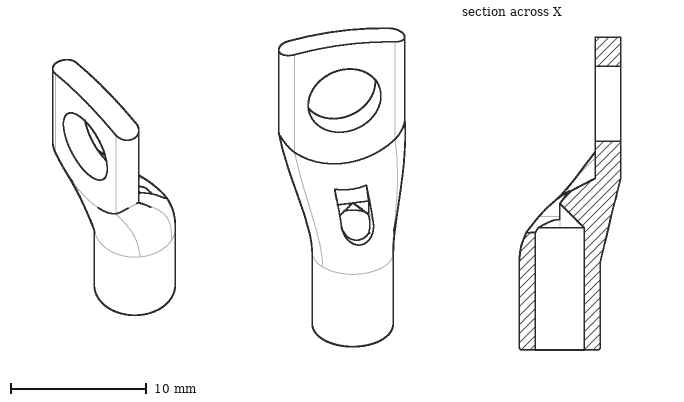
import cadquery as cq
import math

BARREL_RADIUS = 3.0
BARREL_HEIGHT = 6.5
BARREL_FILLET = 0.2

BORE_RADIUS = 1.8
BORE_DEPTH = 9.0
BORE_CONE_HEIGHT = BORE_RADIUS

OVERALL_HEIGHT = 23.08
PALM_WIDTH = 9.5
PALM_THICKNESS = 1.9
PALM_FRONT_Y = -4.5
PALM_MID_Y = PALM_FRONT_Y + PALM_THICKNESS / 2
PALM_EDGE_RADIUS = PALM_THICKNESS / 2
PALM_FLAT_HALF_WIDTH = PALM_WIDTH / 2 - PALM_EDGE_RADIUS
PALM_TOP_RADIUS = OVERALL_HEIGHT

STUD_HOLE_DIAMETER = 5.5
STUD_HOLE_Z = 18.15
NECK_ARC_RADIUS = 5.5

CORNER_ANGLE = math.radians(28.5)
NECK_SECTIONS = 6
SPLINE_SPANS = 8
SEWING_TOLERANCE = 1e-4
WIDTH_LATE_PULL = 0.88
FRONT_LOWER_PULL = 0.32
LOWER_PULL_POWER = 4
FRONT_UPPER_PULL = 0.66
BACK_UPPER_PULL = 0.2

WINDOW_WIDTH = 2.4
WINDOW_BOTTOM_Z = 8.68
WINDOW_ROUND_Z = WINDOW_BOTTOM_Z + WINDOW_WIDTH / 2
WINDOW_FLOOR_Y = 0.0
WINDOW_LEDGE_Z = 10.8
WINDOW_TOP_Y = -0.77
WINDOW_TOP_Z = 11.83
WINDOW_REACH = 2 * BARREL_RADIUS


def bezier(start, lower, upper, end, u):
    """Point on a cubic Bezier curve, one coordinate at a time."""
    v = 1 - u
    return start * v**3 + 3 * lower * v**2 * u + 3 * upper * v * u**2 + end * u**3


def neck_arc_z(x):
    """Height of the neck arc at a given X."""
    return STUD_HOLE_Z - math.sqrt(NECK_ARC_RADIUS**2 - x**2)


def palm_point(side, t):
    """Point of the palm's lower edge on one of its four sides, t from 0 to 1 counter-clockwise."""
    if side in ("right", "left"):
        sign = 1 if side == "right" else -1
        angle = math.pi * (t - 0.5)
        x = sign * (PALM_FLAT_HALF_WIDTH + PALM_EDGE_RADIUS * math.cos(angle))
        y = PALM_MID_Y + sign * PALM_EDGE_RADIUS * math.sin(angle)
    else:
        sign = 1 if side == "front" else -1
        half_sweep = math.asin(PALM_FLAT_HALF_WIDTH / NECK_ARC_RADIUS)
        x = sign * NECK_ARC_RADIUS * math.sin(half_sweep * (2 * t - 1))
        y = PALM_MID_Y - sign * PALM_EDGE_RADIUS
    return x, y, neck_arc_z(x)


def barrel_point(side, t):
    """Point of the barrel's top circle that the palm point of the same side and t is joined to."""
    mid_angle = {"right": 0, "back": math.pi / 2, "left": math.pi, "front": -math.pi / 2}[side]
    half_sweep = CORNER_ANGLE if side in ("right", "left") else math.pi / 2 - CORNER_ANGLE
    angle = mid_angle + half_sweep * (2 * t - 1)
    return BARREL_RADIUS * math.cos(angle), BARREL_RADIUS * math.sin(angle), BARREL_HEIGHT


def neck_point(side, t, u):
    """Point of the neck's skin; u runs from 0 at the barrel to 1 at the palm."""
    x0, y0, z0 = barrel_point(side, t)
    x1, y1, z1 = palm_point(side, t)
    frontness = (BARREL_RADIUS - y0) / (2 * BARREL_RADIUS)
    lower_pull = FRONT_LOWER_PULL * frontness**LOWER_PULL_POWER
    upper_pull = BACK_UPPER_PULL + (FRONT_UPPER_PULL - BACK_UPPER_PULL) * frontness
    y_lower = y0 + (y1 - y0) * lower_pull
    y_upper = y0 + (y1 - y0) * upper_pull
    x_upper = x0 + (x1 - x0) * WIDTH_LATE_PULL
    x = bezier(x0, x0, x_upper, x1, u)
    y = bezier(y0, y_lower, y_upper, y1, u)
    return cq.Vector(x, y, z0 + (z1 - z0) * u)


SIDES = ("right", "back", "left", "front")
SIDE_SELECTORS = {"right": ">X", "back": ">Y", "left": "<X", "front": "<Y"}


def closed_wire(edge_of_side):
    """Loop of four edges, one for each side of the neck."""
    return cq.Wire.assembleEdges([edge_of_side(side) for side in SIDES])


def barrel_arc(side):
    return cq.Edge.makeThreePointArc(*[cq.Vector(*barrel_point(side, t)) for t in (0, 0.5, 1)])


def neck_edge(side, u):
    """Curve across one side of the neck at a fixed u."""
    return cq.Edge.makeSpline([neck_point(side, i / SPLINE_SPANS, u) for i in range(SPLINE_SPANS + 1)])


def make_palm():
    """Tongue with its domed top, its lower end cut to the neck arc."""
    shoulder_z = math.sqrt(PALM_TOP_RADIUS**2 - NECK_ARC_RADIUS**2)
    outline = (
        cq.Workplane("XZ")
        .moveTo(-NECK_ARC_RADIUS, STUD_HOLE_Z)
        .threePointArc((0, STUD_HOLE_Z - NECK_ARC_RADIUS), (NECK_ARC_RADIUS, STUD_HOLE_Z))
        .lineTo(NECK_ARC_RADIUS, shoulder_z)
        .threePointArc((0, OVERALL_HEIGHT), (-NECK_ARC_RADIUS, shoulder_z))
        .close()
        .extrude(PALM_WIDTH, both=True)
    )
    section = cq.Workplane("XY").center(0, PALM_MID_Y).slot2D(PALM_WIDTH, PALM_THICKNESS)
    return section.extrude(OVERALL_HEIGHT).intersect(outline)


def make_neck_and_palm():
    """One solid sewn from the neck's skin, its round lower end and the faces of the palm."""
    palm = make_palm()
    joint_middle = (0, PALM_MID_Y, STUD_HOLE_Z - NECK_ARC_RADIUS)
    joint = palm.faces(cq.selectors.NearestToPointSelector(joint_middle))
    barrel_loop = closed_wire(barrel_arc)
    palm_loop = closed_wire(lambda side: joint.edges(SIDE_SELECTORS[side]).val())
    inner_loops = [
        closed_wire(lambda side: neck_edge(side, i / NECK_SECTIONS)) for i in range(1, NECK_SECTIONS)
    ]
    skin = cq.Solid.makeLoft([barrel_loop, *inner_loops, palm_loop]).Faces()
    lower_end = cq.Face.makeFromWires(barrel_loop)
    palm_faces = [face for face in palm.faces().vals() if not face.isSame(joint.val())]
    sewn = cq.occ_impl.shapes.shell(skin + [lower_end] + palm_faces, tol=SEWING_TOLERANCE)
    return cq.Workplane(cq.Solid.makeSolid(sewn).fix())


def make_barrel():
    body = cq.Workplane("XY").circle(BARREL_RADIUS).extrude(BARREL_HEIGHT)
    return body.faces("<Z").edges().fillet(BARREL_FILLET)


def make_bore():
    """Round bore with a cone at its blind end."""
    return (
        cq.Workplane("XZ")
        .lineTo(BORE_RADIUS, 0)
        .lineTo(BORE_RADIUS, BORE_DEPTH)
        .lineTo(0, BORE_DEPTH + BORE_CONE_HEIGHT)
        .close()
        .revolve(360, (0, 0), (0, 1))
    )


def make_window():
    """Inspection window: half-round lower end, straight sides and a sloping ledge at the top."""
    half_width = WINDOW_WIDTH / 2
    side_profile = (
        cq.Workplane("YZ")
        .moveTo(WINDOW_FLOOR_Y, WINDOW_BOTTOM_Z)
        .lineTo(WINDOW_FLOOR_Y, WINDOW_LEDGE_Z)
        .lineTo(WINDOW_TOP_Y, WINDOW_TOP_Z)
        .lineTo(WINDOW_REACH, WINDOW_TOP_Z)
        .lineTo(WINDOW_REACH, WINDOW_BOTTOM_Z)
        .close()
        .extrude(half_width, both=True)
    )
    back_profile = (
        cq.Workplane("XZ")
        .moveTo(-half_width, WINDOW_ROUND_Z)
        .threePointArc((0, WINDOW_BOTTOM_Z), (half_width, WINDOW_ROUND_Z))
        .lineTo(half_width, WINDOW_TOP_Z)
        .lineTo(-half_width, WINDOW_TOP_Z)
        .close()
        .extrude(WINDOW_REACH, both=True)
    )
    return side_profile.intersect(back_profile)


def make_stud_hole():
    hole = cq.Workplane("XZ").center(0, STUD_HOLE_Z).circle(STUD_HOLE_DIAMETER / 2)
    return hole.extrude(PALM_WIDTH, both=True)


lug = make_barrel().union(make_neck_and_palm())
result = lug.cut(make_bore()).cut(make_window()).cut(make_stud_hole())